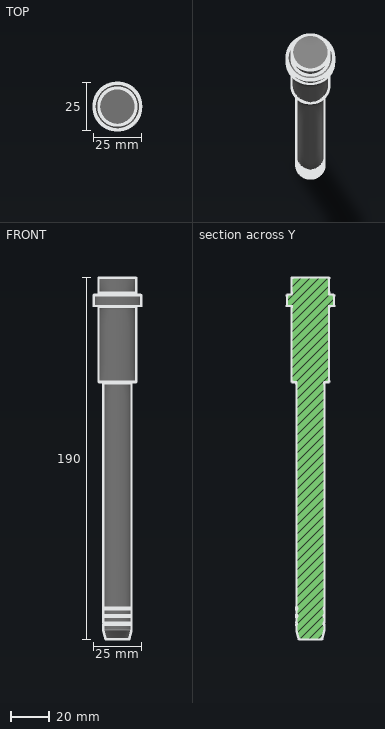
import cadquery as cq
import math

total_length = 190.0
top_z = total_length / 2
bottom_z = -total_length / 2

flange_radius = 25.0 / 2
head_radius = 20.0 / 2
shaft_radius = 15.0 / 2

head_length = 9.0
flange_thickness = 6.0
sleeve_length = 40.0

shoulder_chamfer = 0.5
end_chamfer = 0.4

undercut_width = 0.5
undercut_depth = 0.2
head_undercut_gap = 0.4

groove_count = 3
groove_width = 1.1
groove_depth = groove_width / 2
groove_pitch = 4.0

taper_length = 5.0
taper_angle = 15.0

flange_top_z = top_z - head_length
flange_bottom_z = flange_top_z - flange_thickness
sleeve_bottom_z = flange_bottom_z - sleeve_length
taper_top_z = bottom_z + taper_length
tip_radius = shaft_radius - taper_length * math.tan(math.radians(taper_angle))


def turned(profile):
    """Revolve (radius, height) points about the Z axis."""
    return cq.Workplane("XZ").polyline(profile).close().revolve(360, (0, 0, 0), (0, 1, 0))


def cylinder(radius, low_z, high_z):
    """Solid cylinder on the Z axis between two heights."""
    return cq.Workplane("XY").workplane(offset=low_z).circle(radius).extrude(high_z - low_z)


def v_ring(radius, low_z, width, depth):
    """V-section ring to cut into a cylinder of the given radius."""
    return turned([
        (radius, low_z),
        (radius - depth, low_z + width / 2),
        (radius, low_z + width),
    ])


def undercut(radius, low_z):
    """Shallow V ring to cut beside a shoulder."""
    return v_ring(radius, low_z, undercut_width, undercut_depth)


head = cylinder(head_radius, flange_top_z, top_z).faces(">Z").edges().chamfer(end_chamfer)
head = head.cut(undercut(head_radius, flange_top_z + head_undercut_gap))

flange = cylinder(flange_radius, flange_bottom_z, flange_top_z)
flange = flange.faces(">Z").edges().chamfer(shoulder_chamfer)

sleeve = cylinder(head_radius, sleeve_bottom_z, flange_bottom_z)
sleeve = sleeve.faces("<Z").edges().chamfer(shoulder_chamfer)
sleeve = sleeve.cut(undercut(head_radius, flange_bottom_z - undercut_width))

shaft = cylinder(shaft_radius, taper_top_z, sleeve_bottom_z)
shaft = shaft.cut(undercut(shaft_radius, sleeve_bottom_z - undercut_width))
for index in range(groove_count):
    groove_low_z = taper_top_z + (index + 1) * groove_pitch - groove_width
    shaft = shaft.cut(v_ring(shaft_radius, groove_low_z, groove_width, groove_depth))

lead_in = turned([(0, bottom_z), (tip_radius, bottom_z), (shaft_radius, taper_top_z), (0, taper_top_z)])
lead_in = lead_in.faces("<Z").edges().chamfer(end_chamfer)

result = head.union(flange).union(sleeve).union(shaft).union(lead_in)